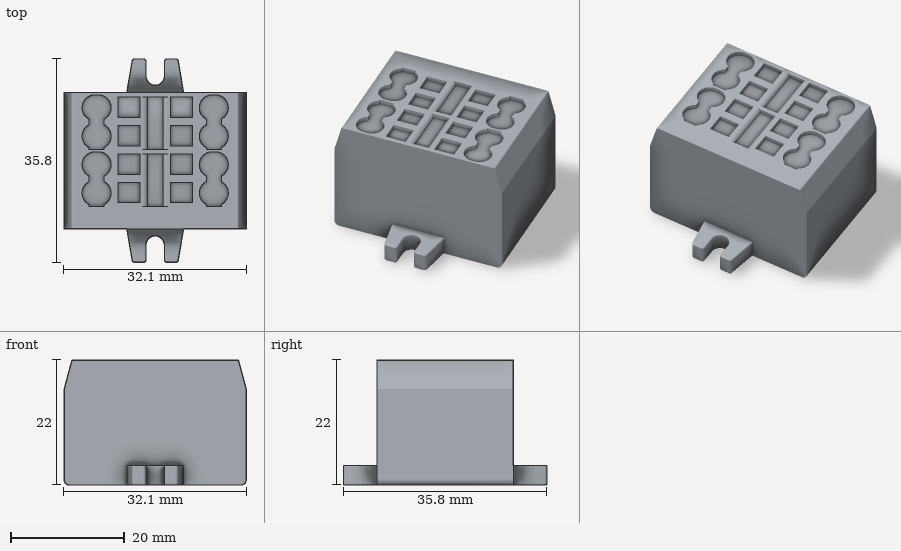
import cadquery as cq
import math

body_width = 32.05
body_depth = 24.0
body_height = 22.0
shoulder_height = 16.85
taper_angle = 15.0
bottom_radius = 1.0
top_edge_radius = 0.25

tab_length = 5.9
tab_height = 3.5
tab_root_width = 10.0
tab_tip_width = 8.0
tab_corner_radius = 0.5
tab_edge_radius = 0.25
notch_width = 3.2
notch_centre_from_tip = 3.05

recess_depth = 1.0
pole_pitch = 5.0
poles_per_block = 2
block_count = 2
block_pitch = poles_per_block * pole_pitch
first_block_top = 11.2
first_block_bottom = 1.95

window_width = 3.85
window_length = 3.6
window_x = 4.63

wire_entry_x = 10.3
wire_entry_width = 5.1
wire_entry_length = 4.5
wire_entry_neck_width = 2.65
first_wire_entry_y = 9.3

channel_floor_width = 2.75
channel_lip_radius = 0.75

overlap = 1.0


def make_body():
    half_width = body_width / 2
    taper_height = body_height - shoulder_height
    half_top = half_width - taper_height * math.tan(math.radians(taper_angle))
    body = (
        cq.Workplane("XZ")
        .polyline([
            (-half_width, 0),
            (half_width, 0),
            (half_width, shoulder_height),
            (half_top, body_height),
            (-half_top, body_height),
            (-half_width, shoulder_height),
        ])
        .close()
        .extrude(body_depth / 2, both=True)
    )
    body = body.faces("<Z").edges("|Y").fillet(bottom_radius)
    return body.faces(">Z").edges("|Y").fillet(top_edge_radius)


def make_back_tab():
    """Tapered tab with an open notch; its root is buried inside the body."""
    root_y = body_depth / 2
    tip_y = root_y + tab_length
    side_slope = (tab_root_width - tab_tip_width) / 2 / tab_length
    buried_y = root_y - overlap
    half_buried = tab_root_width / 2 + side_slope * overlap
    half_tip = tab_tip_width / 2
    half_notch = notch_width / 2
    notch_y = tip_y - notch_centre_from_tip
    tab = (
        cq.Workplane("XY")
        .moveTo(-half_buried, buried_y)
        .lineTo(half_buried, buried_y)
        .lineTo(half_tip, tip_y)
        .lineTo(half_notch, tip_y)
        .lineTo(half_notch, notch_y)
        .threePointArc((0, notch_y - half_notch), (-half_notch, notch_y))
        .lineTo(-half_notch, tip_y)
        .lineTo(-half_tip, tip_y)
        .close()
        .extrude(tab_height)
    )
    tab = tab.faces(">Y").edges("|Z").fillet(tab_corner_radius)
    return tab.faces("<Z or >Z").edges().fillet(tab_edge_radius)


def top_recess(width, length, x, y):
    """Rectangular cutter that sinks recess_depth into the top face."""
    floor = body_height - recess_depth
    height = recess_depth + overlap
    return cq.Workplane("XY", origin=(x, y, floor)).rect(width, length).extrude(height)


def make_channel(centre_y, length):
    """Central channel whose two long lips are rounded over."""
    lip = channel_lip_radius
    half_floor = channel_floor_width / 2
    half_top = half_floor + lip
    floor = body_height - recess_depth
    lip_start = body_height - lip
    lip_offset = lip * (1 - math.sqrt(0.5))
    arc_mid_x = half_floor + lip_offset
    arc_mid_z = body_height - lip_offset
    return (
        cq.Workplane("XZ", origin=(0, centre_y, 0))
        .moveTo(-half_floor, floor)
        .lineTo(half_floor, floor)
        .lineTo(half_floor, lip_start)
        .threePointArc((arc_mid_x, arc_mid_z), (half_top, body_height))
        .lineTo(-half_top, body_height)
        .threePointArc((-arc_mid_x, arc_mid_z), (-half_floor, lip_start))
        .close()
        .extrude(length / 2, both=True)
    )


def make_wire_entries(x, first_y, bottom_y):
    """Oblong wire entries of one block, joined by a neck that runs to bottom_y."""
    neck_length = first_y - bottom_y
    cutter = top_recess(wire_entry_neck_width, neck_length, x, bottom_y + neck_length / 2)
    floor = body_height - recess_depth
    for pole in range(poles_per_block):
        entry = (
            cq.Workplane("XY", origin=(x, first_y - pole * pole_pitch, floor))
            .slot2D(wire_entry_width, wire_entry_length)
            .extrude(recess_depth + overlap)
        )
        cutter = cutter.union(entry)
    return cutter


def cut_block(part, shift):
    """Cut every recess of one terminal block, shifted toward -Y by shift."""
    block_top = first_block_top - shift
    block_bottom = first_block_bottom - shift
    first_window_y = block_top - window_length / 2
    part = part.cut(make_channel((block_top + block_bottom) / 2, block_top - block_bottom))
    for side in (-1, 1):
        part = part.cut(make_wire_entries(side * wire_entry_x, first_wire_entry_y - shift, block_bottom))
        for pole in range(poles_per_block):
            window_y = first_window_y - pole * pole_pitch
            part = part.cut(top_recess(window_width, window_length, side * window_x, window_y))
    return part


back_tab = make_back_tab()
front_tab = back_tab.mirror("XZ")
result = make_body().union(back_tab).union(front_tab)
for block in range(block_count):
    result = cut_block(result, block * block_pitch)